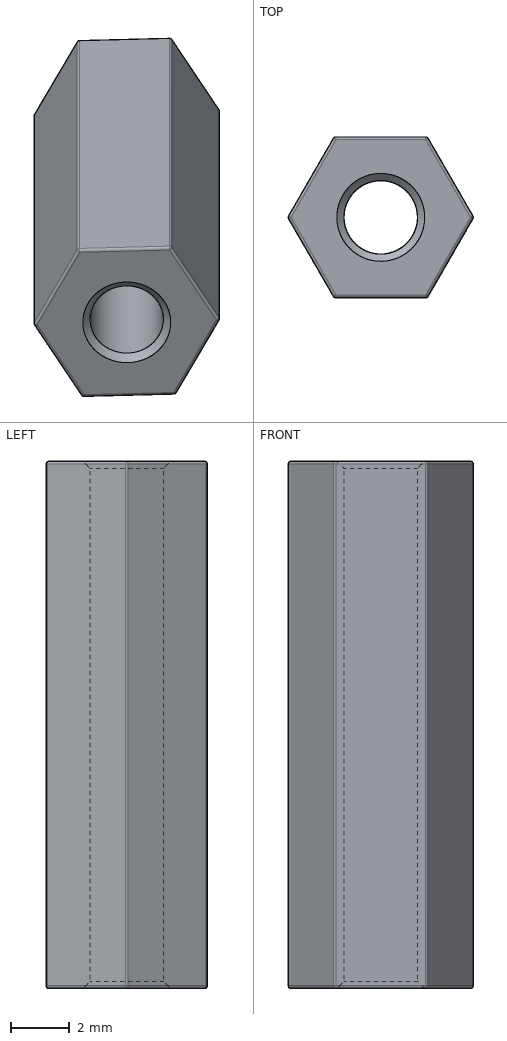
import cadquery as cq
import math

across_flats = 5.5
length = 18.0
edge_radius = 0.1
bore_diameter = 2.5
countersink_diameter = 3.0
countersink_depth = (countersink_diameter - bore_diameter) / 2

across_corners = across_flats / math.cos(math.radians(30))


def hex_body():
    """Hexagonal bar with corners on the X axis and all edges rounded."""
    bar = cq.Workplane("XY").polygon(6, across_corners).extrude(length)
    return bar.edges().fillet(edge_radius)


def bore():
    """Cylinder running the full length of the bar."""
    return cq.Workplane("XY").circle(bore_diameter / 2).extrude(length)


def countersink(end_height, inward):
    """Cone that narrows from an end face to the bore; inward is +1 or -1 along Z."""
    return cq.Workplane(
        cq.Solid.makeCone(
            countersink_diameter / 2,
            bore_diameter / 2,
            countersink_depth,
            pnt=cq.Vector(0, 0, end_height),
            dir=cq.Vector(0, 0, inward),
        )
    )


result = hex_body().cut(bore())
for end_height, inward in ((0, 1), (length, -1)):
    result = result.cut(countersink(end_height, inward))